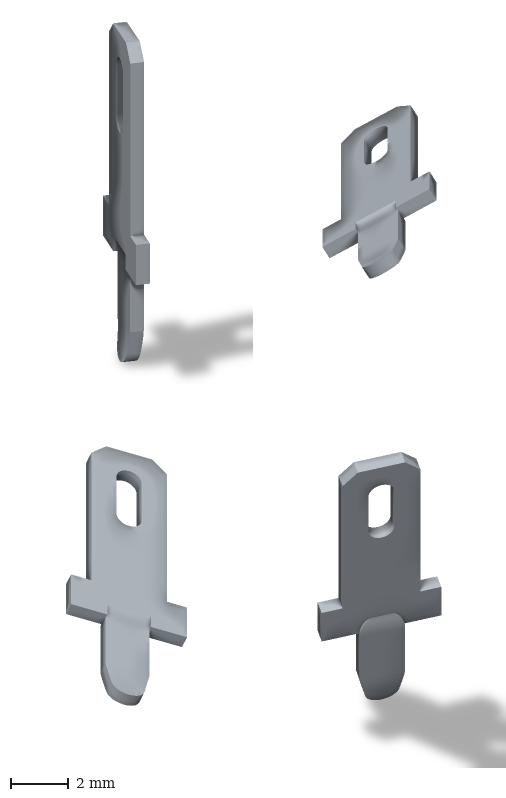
import cadquery as cq
import math

thickness = 0.5
total_height = 12.41
shoulder_width = 4.3
shoulder_bottom = 3.8
shoulder_top = 5.32
blade_width = 2.79
corner_chamfer = 0.55

slot_width = 0.93
slot_length = 2.8
slot_top_margin = 0.94

pin_width = 1.61
pin_offset = 0.15
bend_top = 4.37
taper_start = 1.4
round_start = 0.47
round_start_width = 1.22

front_bend_height = bend_top - shoulder_bottom
front_bend_radius = (front_bend_height**2 + pin_offset**2) / (2 * pin_offset)
rear_bend_radius = front_bend_radius + thickness
rear_bend_height = math.sqrt(rear_bend_radius**2 - (rear_bend_radius - pin_offset) ** 2)
rear_bend_top = shoulder_bottom + rear_bend_height


def tangent_arc_midpoint(tangent_z, end_z):
    """Midpoint (Y, Z) of an arc tangent to the pin face at tangent_z, dropping by pin_offset at end_z."""
    rise = abs(end_z - tangent_z)
    radius = (rise**2 + pin_offset**2) / (2 * pin_offset)
    half_angle = math.asin(rise / radius) / 2
    y = pin_offset - radius * (1 - math.cos(half_angle))
    z = tangent_z + math.copysign(radius * math.sin(half_angle), end_z - tangent_z)
    return y, z


def make_plate():
    """Shouldered blade with chamfered top corners and a slot."""
    shoulder = cq.Workplane("XY").box(
        shoulder_width, thickness, shoulder_top - shoulder_bottom, centered=(True, False, False)
    ).translate((0, 0, shoulder_bottom))
    blade = cq.Workplane("XY").box(
        blade_width, thickness, total_height - shoulder_bottom, centered=(True, False, False)
    ).translate((0, 0, shoulder_bottom))
    blade = blade.faces(">Z").edges("|Y").chamfer(corner_chamfer)
    slot_center = total_height - slot_top_margin - slot_length / 2
    slot = (
        cq.Workplane("XZ")
        .center(0, slot_center)
        .slot2D(slot_length, slot_width, 90)
        .extrude(-thickness)
    )
    return shoulder.union(blade).cut(slot)


def make_bent_strip():
    """Strip that bends back for the pin and forward again at the tip."""
    front_y, front_z = tangent_arc_midpoint(shoulder_bottom, bend_top)
    rear_y, rear_z = tangent_arc_midpoint(shoulder_bottom, rear_bend_top)
    tip_y, tip_z = tangent_arc_midpoint(taper_start, 0)
    return (
        cq.Workplane("YZ")
        .moveTo(0, bend_top)
        .threePointArc((front_y, front_z), (pin_offset, shoulder_bottom))
        .lineTo(pin_offset, taper_start)
        .threePointArc((tip_y, tip_z), (0, 0))
        .lineTo(thickness, 0)
        .threePointArc((tip_y + thickness, tip_z), (thickness + pin_offset, taper_start))
        .lineTo(thickness + pin_offset, shoulder_bottom)
        .threePointArc((rear_y + thickness, rear_z), (thickness, rear_bend_top))
        .close()
        .extrude(pin_width / 2, both=True)
    )


def make_pin_outline():
    """Front outline of the pin, extruded through the strip."""
    half_width = pin_width / 2
    half_round = round_start_width / 2
    return (
        cq.Workplane("XZ")
        .moveTo(-half_width, rear_bend_top)
        .lineTo(-half_width, taper_start)
        .lineTo(-half_round, round_start)
        .threePointArc((0, 0), (half_round, round_start))
        .lineTo(half_width, taper_start)
        .lineTo(half_width, rear_bend_top)
        .close()
        .extrude(-(thickness + pin_offset))
    )


def make_bend_opening():
    """Gap in the plate that the bent strip fills."""
    return cq.Workplane("XY").box(
        pin_width, thickness, bend_top - shoulder_bottom, centered=(True, False, False)
    ).translate((0, 0, shoulder_bottom))


def make_bulge_trim():
    """Material to remove behind the plate so that the rear bulge ends in a half-round arch."""
    block = cq.Workplane("XY").box(
        pin_width, pin_offset, rear_bend_height, centered=(True, False, False)
    ).translate((0, thickness, shoulder_bottom))
    arch = (
        cq.Workplane("XZ", origin=(0, thickness, shoulder_bottom))
        .circle(pin_width / 2)
        .extrude(-pin_offset)
    )
    return block.cut(arch)


pin = make_bent_strip().intersect(make_pin_outline()).cut(make_bulge_trim())
result = make_plate().cut(make_bend_opening()).union(pin)